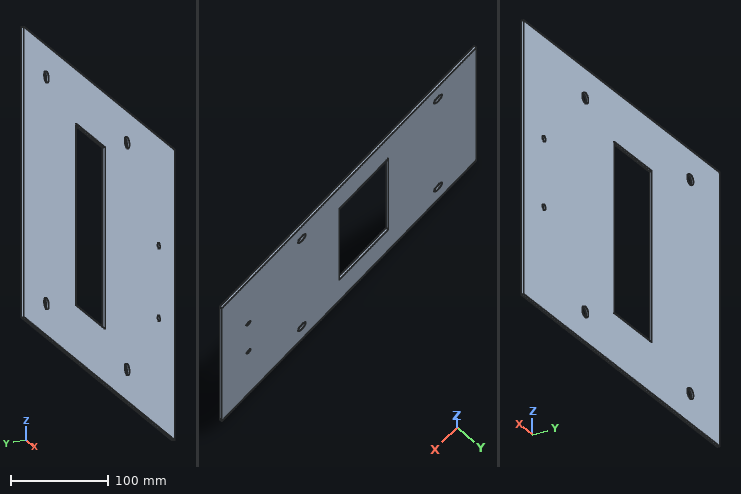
import cadquery as cq

plate_width = 390.0
plate_height = 320.0
plate_thickness = 3.0

window_width = 75.0
window_height = 200.0
window_x = -22.5

large_hole_diameter = 12.0
large_hole_columns = (-136.5, 72.0)
large_hole_row_spacing = 250.0

small_hole_diameter = 6.2
small_hole_x = 154.0
small_hole_spacing = 80.0


def through_cutter(profile):
    """Extrude an XZ profile both ways so that it passes through the plate."""
    return profile.extrude(plate_thickness, both=True)


plate = cq.Workplane("XY").box(plate_width, plate_thickness, plate_height)

window = through_cutter(
    cq.Workplane("XZ").center(window_x, 0).rect(window_width, window_height)
)

large_hole_centres = [
    (x, side * large_hole_row_spacing / 2)
    for x in large_hole_columns
    for side in (-1, 1)
]
large_holes = through_cutter(
    cq.Workplane("XZ").pushPoints(large_hole_centres).circle(large_hole_diameter / 2)
)

small_hole_centres = [(small_hole_x, side * small_hole_spacing / 2) for side in (-1, 1)]
small_holes = through_cutter(
    cq.Workplane("XZ").pushPoints(small_hole_centres).circle(small_hole_diameter / 2)
)

result = plate.cut(window).cut(large_holes).cut(small_holes)